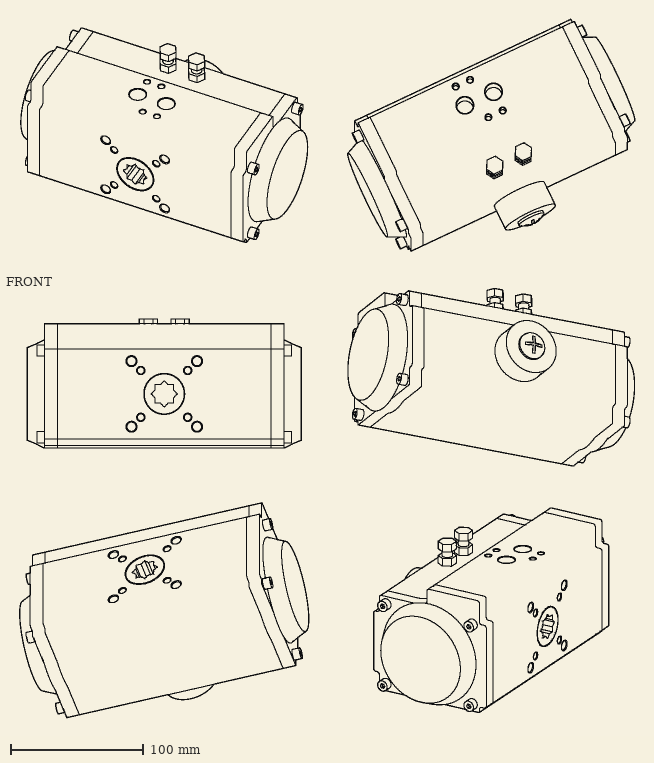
import cadquery as cq
import math

half_length = 90.5
cap_plate_thickness = 10.0
cap_nose_length = 13.0
body_half_length = half_length - cap_plate_thickness

front_face = -50.0
back_face = 49.0
front_shoulder = -44.0
back_shoulder = 44.0
front_step_height = 34.0
back_step_height = 24.8
flat_half_height = 38.75
top_block_height = 53.0
top_block_back = 2.2
bore_wall_radius = 41.0
overall_height = 97.75
edge_radius = 2.0
bottom_edge_radius = 0.5
foot_radius = 2.0

nose_radius = 35.0
bolt_y = 37.9
bolt_z = 32.7
bolt_head_diameter = 8.4
bolt_head_height = 5.7
bolt_socket_across_flats = 3.2
bolt_socket_depth = 2.5

stop_screw_x = 12.0
stop_screw_y = 31.0
stop_hex_across_flats = 12.0
stop_nut_height = 6.3
stop_stud_diameter = 8.0
stop_head_height = 6.2
stop_top = overall_height - bore_wall_radius

knob_diameter = 42.0
knob_face = 68.4
cover_screw_diameter = 21.0
cover_screw_rim = 1.9
cover_screw_top = 74.0
screw_slot_width = 2.0
screw_slot_depth = 1.5

drill_point_angle = 118.0
port_diameter = 12.7
port_mouth = 13.6
port_depth = 15.0
port_x = 12.0
port_y = -21.0
valve_hole_diameter = 4.6
valve_hole_mouth = 5.4
valve_hole_depth = 8.0
valve_hole_y_offset = 16.0
large_flange_circle = 70.0
large_flange_diameter = 7.0
large_flange_mouth = 8.3
large_flange_depth = 13.0
small_flange_circle = 50.0
small_flange_diameter = 5.2
small_flange_mouth = 6.3
small_flange_depth = 10.0

groove_outer_diameter = 31.0
groove_inner_diameter = 30.2
groove_depth = 1.0
drive_square = 14.0
drive_depth = 20.0


def x_prism(x_start, x_length):
    """Solid with the stepped, rounded cross-section, running along X."""
    outline = [
        (front_shoulder, -flat_half_height),
        (back_shoulder, -flat_half_height),
        (back_shoulder, -back_step_height),
        (back_face, -back_step_height),
        (back_face, back_step_height),
        (back_shoulder, back_step_height),
        (back_shoulder, flat_half_height),
        (top_block_back, flat_half_height),
        (top_block_back, top_block_height),
        (front_shoulder, top_block_height),
        (front_shoulder, front_step_height),
        (front_face, front_step_height),
        (front_face, -front_step_height),
        (front_shoulder, -front_step_height),
    ]
    plane = cq.Workplane("YZ", origin=(x_start, 0, 0))
    stepped = plane.polyline(outline).close().extrude(x_length)
    bottom_corners = [
        (front_shoulder, -flat_half_height),
        (back_shoulder, -flat_half_height),
    ]
    top_block_foot = (top_block_back, flat_half_height)
    rounded = [p for p in outline if p not in bottom_corners and p != top_block_foot]
    stepped = fillet_x_edges(stepped, rounded, x_start + x_length / 2, edge_radius)
    stepped = fillet_x_edges(stepped, bottom_corners, x_start + x_length / 2, bottom_edge_radius)

    prism = stepped.union(plane.circle(bore_wall_radius).extrude(x_length))
    wall_top = math.sqrt(bore_wall_radius**2 - top_block_back**2)
    flat_edge = math.sqrt(bore_wall_radius**2 - flat_half_height**2)
    inner_corners = [(top_block_back, wall_top), (flat_edge, flat_half_height)]
    return fillet_x_edges(prism, inner_corners, x_start + x_length / 2, foot_radius)


def fillet_x_edges(solid, corners, x_middle, radius):
    """Round the edges along X that pass through the given (y, z) corners."""
    for y, z in corners:
        solid = solid.edges(cq.selectors.NearestToPointSelector((x_middle, y, z))).fillet(radius)
    return solid


def drilled_hole(base, direction, diameter, depth, mouth):
    """Cutter for a blind hole with a drill point and a 45 degree mouth chamfer."""
    radius = diameter / 2
    chamfer = (mouth - diameter) / 2
    tip_depth = depth + radius / math.tan(math.radians(drill_point_angle / 2))
    points = [(0, 0), (mouth / 2, 0), (radius, chamfer), (radius, depth), (0, tip_depth)]
    plane = cq.Plane(origin=base, xDir=(1, 0, 0), normal=(0, -direction[2], direction[1]))
    profile = cq.Workplane(plane).polyline(points).close()
    return profile.revolve(360, (0, 0, 0), (0, 1, 0))


def hexagon(workplane, across_flats, height):
    return workplane.polygon(6, across_flats / math.cos(math.pi / 6)).extrude(height)


def make_stop_screw(x):
    """Lock nut, stud and hexagon head standing on the low top face."""
    def level(z):
        return cq.Workplane("XY", origin=(x, stop_screw_y, z))

    nut = hexagon(level(flat_half_height), stop_hex_across_flats, stop_nut_height)
    stud = level(flat_half_height).circle(stop_stud_diameter / 2).extrude(stop_top - flat_half_height)
    head = hexagon(level(stop_top - stop_head_height), stop_hex_across_flats, stop_head_height)
    return nut.union(stud).union(head)


def make_knob():
    """Round indicator knob with a domed, cross-slotted cover screw."""
    rim_radius = cover_screw_diameter / 2
    rim_y = knob_face + cover_screw_rim
    dome_height = cover_screw_top - rim_y
    dome_radius = (rim_radius**2 + dome_height**2) / (2 * dome_height)
    half_angle = math.asin(rim_radius / dome_radius) / 2
    dome_middle = (
        dome_radius * math.sin(half_angle),
        cover_screw_top - dome_radius * (1 - math.cos(half_angle)),
    )
    knob = (
        cq.Workplane("XY")
        .moveTo(0, back_face)
        .lineTo(knob_diameter / 2, back_face)
        .lineTo(knob_diameter / 2, knob_face)
        .lineTo(rim_radius, knob_face)
        .lineTo(rim_radius, rim_y)
        .threePointArc(dome_middle, (0, cover_screw_top))
        .close()
        .revolve(360, (0, 0, 0), (0, 1, 0))
    )
    slot_centre = (0, cover_screw_top - screw_slot_depth / 2, 0)
    slot_length = cover_screw_diameter
    slot = cq.Workplane("XY").box(screw_slot_width, screw_slot_depth, slot_length)
    cross = slot.union(slot.rotate((0, 0, 0), (0, 1, 0), 90))
    return knob.cut(cross.translate(slot_centre))


def cut_top_holes(housing):
    """Two air ports with four valve mounting holes around them."""
    down = (0, 0, -1)
    for x in (-port_x, port_x):
        port = drilled_hole((x, port_y, top_block_height), down, port_diameter, port_depth, port_mouth)
        housing = housing.cut(port)
    back_row = port_y + valve_hole_y_offset
    front_row = port_y - valve_hole_y_offset
    for x, y in [(-port_x, back_row), (0, back_row), (0, front_row), (port_x, front_row)]:
        base = (x, y, top_block_height)
        housing = housing.cut(
            drilled_hole(base, down, valve_hole_diameter, valve_hole_depth, valve_hole_mouth)
        )
    return housing


def cut_flange_holes(housing, circle_diameter, diameter, depth, mouth):
    """Four holes in the front face, on the diagonals of a bolt circle."""
    offset = circle_diameter / 2 * math.sqrt(0.5)
    for x in (-offset, offset):
        for z in (-offset, offset):
            housing = housing.cut(drilled_hole((x, front_face, z), (0, 1, 0), diameter, depth, mouth))
    return housing


def cut_drive_socket(housing):
    """Eight-pointed star socket inside a thin ring groove."""
    front = cq.Workplane("XZ", origin=(0, front_face, 0))
    groove = (
        front.circle(groove_outer_diameter / 2).circle(groove_inner_diameter / 2).extrude(-groove_depth)
    )
    square = front.rect(drive_square, drive_square).extrude(-drive_depth)
    star = square.union(square.rotate((0, 0, 0), (0, 1, 0), 45))
    return housing.cut(groove).cut(star)


def make_housing():
    housing = x_prism(-body_half_length, 2 * body_half_length)
    housing = cut_top_holes(housing)
    housing = cut_flange_holes(
        housing, large_flange_circle, large_flange_diameter, large_flange_depth, large_flange_mouth
    )
    housing = cut_flange_holes(
        housing, small_flange_circle, small_flange_diameter, small_flange_depth, small_flange_mouth
    )
    housing = cut_drive_socket(housing)
    for x in (-stop_screw_x, stop_screw_x):
        housing = housing.union(make_stop_screw(x))
    return housing.union(make_knob())


def make_end_cap():
    """Cap at the +X end: plate, tapered nose and four socket-head bolts."""
    cap = x_prism(body_half_length, cap_plate_thickness)
    nose = (
        cq.Workplane("YZ", origin=(half_length, 0, 0))
        .circle(bore_wall_radius)
        .workplane(offset=cap_nose_length)
        .circle(nose_radius)
        .loft(ruled=True)
    )
    bolts = [(y, z) for y in (-bolt_y, bolt_y) for z in (-bolt_z, bolt_z)]
    heads = (
        cq.Workplane("YZ", origin=(half_length, 0, 0))
        .pushPoints(bolts)
        .circle(bolt_head_diameter / 2)
        .extrude(bolt_head_height)
    )
    sockets = (
        cq.Workplane("YZ", origin=(half_length + bolt_head_height, 0, 0))
        .pushPoints(bolts)
        .polygon(6, bolt_socket_across_flats / math.cos(math.pi / 6))
        .extrude(-bolt_socket_depth)
    )
    return cap.union(nose).union(heads).cut(sockets)


housing = make_housing()
right_cap = make_end_cap()
left_cap = right_cap.mirror("YZ")

result = cq.Compound.makeCompound([housing.val(), right_cap.val(), left_cap.val()])